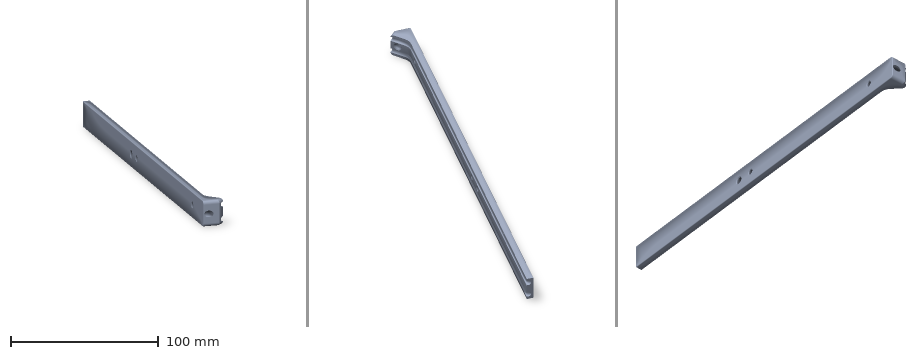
import cadquery as cq
import math

length = 270.0
height = 18.0
depth = 15.0
bar_thickness = 4.9
tip_setback = 3.8
root_radius = 8.0
end_corner_radius = 2.5
front_edge_radius = 0.5

groove_width = 3.5
groove_spacing = 10.3
groove_depth = 3.2

front_holes = [
    (108.0, 4.5, 6.0),
    (120.2, 3.5, 4.5),
    (245.0, 3.5, 4.5),
]
slanted_hole_diameter = 4.5
slanted_mouth_diameter = 6.0
slanted_hole_y = 11.3

tip_x = length - tip_setback
ramp_start_x = tip_x - (depth - bar_thickness)


def make_body():
    """Bar with a 45 degree hook, rounded at the root and the outer edges."""
    body = (
        cq.Workplane("XY")
        .polyline([
            (0, 0),
            (length, 0),
            (length, depth - tip_setback),
            (tip_x, depth),
            (ramp_start_x, bar_thickness),
            (0, bar_thickness),
        ])
        .close()
        .extrude(height / 2, both=True)
    )
    root = cq.selectors.NearestToPointSelector((ramp_start_x, bar_thickness, 0))
    body = body.edges("|Z").edges(root).fillet(root_radius)
    end_profile = cq.selectors.BoxSelector(
        (length - end_corner_radius, 0, -height),
        (length + end_corner_radius, depth, height),
    )
    body = body.edges("#Z").edges(end_profile).fillet(end_corner_radius)
    return body.faces("<Y").edges("not(<X)").fillet(front_edge_radius)


def make_groove(z):
    """Round-bottomed groove of constant depth that follows the bar, the root and the ramp."""
    radius = groove_width / 2
    axis_depth = groove_depth - radius
    axis_y = bar_thickness - axis_depth
    bend_radius = root_radius + axis_depth
    ramp_angle = math.atan2(depth - bar_thickness, tip_x - ramp_start_x)
    bend_start_x = ramp_start_x - root_radius * math.tan(ramp_angle / 2)

    def bend_point(angle):
        x = bend_start_x + bend_radius * math.sin(angle)
        y = axis_y + bend_radius * (1 - math.cos(angle))
        return x, y

    bend_end = bend_point(ramp_angle)
    path = (
        cq.Workplane("XY", origin=(0, 0, z))
        .moveTo(0, axis_y)
        .lineTo(bend_start_x, axis_y)
        .threePointArc(bend_point(ramp_angle / 2), bend_end)
        .lineTo(bend_end[0] + depth, bend_end[1] + depth)
    )
    mouth_y = axis_y + 2 * axis_depth
    return (
        cq.Workplane("YZ")
        .moveTo(mouth_y, z - radius)
        .lineTo(axis_y, z - radius)
        .threePointArc((axis_y - radius, z), (axis_y, z + radius))
        .lineTo(mouth_y, z + radius)
        .close()
        .sweep(path)
    )


def make_countersunk_hole(mouth_center, direction, diameter, mouth_diameter):
    """Through hole running along direction, with a 45 degree countersink at its mouth."""
    start = cq.Vector(*mouth_center)
    axis = cq.Vector(*direction)
    sink_depth = (mouth_diameter - diameter) / 2
    reach = 2 * depth
    bore = cq.Solid.makeCylinder(diameter / 2, reach, start, axis)
    sink = cq.Solid.makeCone(mouth_diameter / 2, diameter / 2, sink_depth, start, axis)
    return cq.Workplane(bore).union(cq.Workplane(sink))


result = make_body()
for side in (-1, 1):
    result = result.cut(make_groove(side * groove_spacing / 2))
for hole_x, hole_diameter, mouth in front_holes:
    result = result.cut(make_countersunk_hole((hole_x, 0, 0), (0, 1, 0), hole_diameter, mouth))

slanted_hole_x = ramp_start_x + slanted_hole_y - bar_thickness
result = result.cut(
    make_countersunk_hole(
        (slanted_hole_x, slanted_hole_y, 0),
        (1, -1, 0),
        slanted_hole_diameter,
        slanted_mouth_diameter,
    )
)